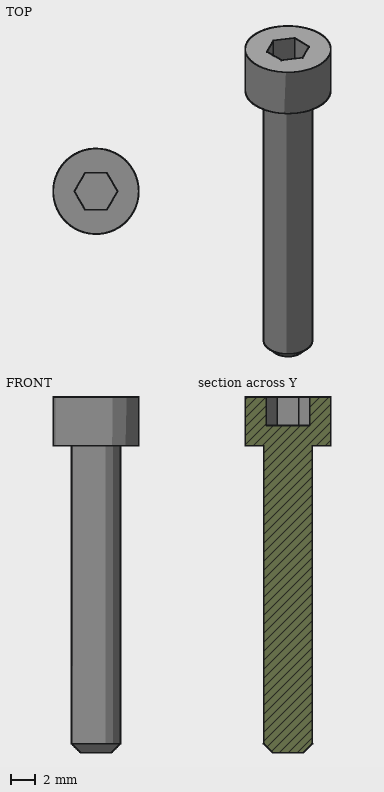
import cadquery as cq
import math

total_length = 29.0
head_diameter = 7.0
shank_diameter = 4.0
head_height = shank_diameter
shank_length = total_length - head_height
tip_chamfer = 0.75
socket_across_flats = 3.05
socket_depth = 2.32


def make_head():
    return cq.Workplane("XY").circle(head_diameter / 2).extrude(head_height)


def make_shank():
    """Smooth cylindrical shank below the head, with a chamfered tip."""
    return (
        cq.Workplane("XY")
        .circle(shank_diameter / 2)
        .extrude(-shank_length)
        .faces("<Z")
        .chamfer(tip_chamfer)
    )


def make_socket():
    """Hexagonal key socket with two corners in the XZ plane."""
    corner_count = 6
    across_corners = socket_across_flats / math.cos(math.pi / corner_count)
    return (
        cq.Workplane("XY", origin=(0, 0, head_height))
        .polygon(corner_count, across_corners)
        .extrude(-socket_depth)
    )


result = make_head().union(make_shank()).cut(make_socket())